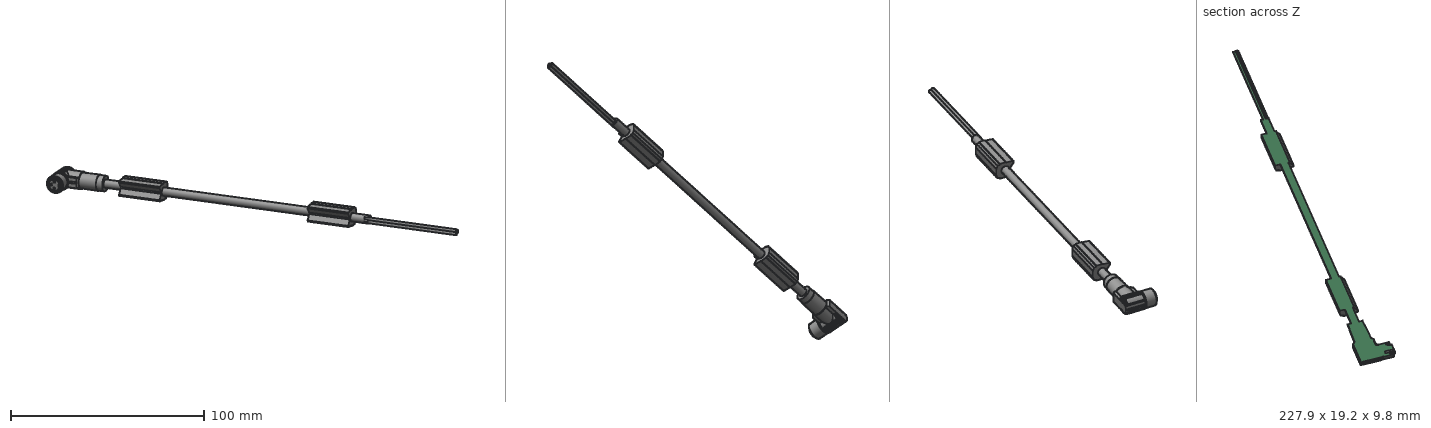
import cadquery as cq
import math


total_length = 227.9
total_width = 19.19
grip_radius = 4.85
wire_end_x = total_length - grip_radius
plate_top_y = 5.85
plug_tip_y = plate_top_y - total_width

grip_top_y = 4.9
grip_bottom_y = -6.0
grip_chamfer = 0.5
groove_angles = (148, 180, 212)
groove_width = 0.7
groove_depth = 0.3

band_half_height = 4.9
band_start_x = -1.2
band_end_x = 1.6
band_top_y = 4.0
band_bottom_y = -4.6
band_groove_width = 0.4
band_groove_depth = 0.3

neck_radius = 4.35
neck_length = 0.4
nose_radius = 4.65
nose_end_y = -12.5
nose_chamfer = 0.3
insert_radius = 3.1
insert_gap = 0.4
insert_gap_depth = 2.0
contact_hole_diameter = 1.1
contact_hole_depth = 5.0
contact_circle_radius = 1.75
contact_angles = (90, 180, 270)
key_width = 0.9
key_depth = 0.7
key_length = 2.0

body_radius = 4.7
body_end_x = 10.0
plate_bottom_y = -5.65
plate_half_height = 2.7
plate_chamfer = 1.0
mark_start_x = 5.4
mark_length = 2.6
mark_width = 1.0
mark_depth = 0.3

sleeve_end_x = 19.6
sleeve_start_half_width = 4.6
sleeve_start_half_height = 4.15
sleeve_end_radius = 4.35
collar_end_x = 23.1
collar_radius = 4.15

cable_radius = 2.25
wire_length = 50.0
cable_end_x = wire_end_x - wire_length
wire_radius = 0.85
wire_centres = ((0.15, 0.0), (-1.3, 0.82), (-1.3, -0.82))
wire_embedding = 2.0

holder_length = 23.1
first_holder_x = 33.1
holder_pitch = 107.1
holder_back_y = 5.15
holder_back_half_height = 2.0
holder_bevel_y = 4.5
holder_bevel_half_height = 3.9
holder_ledge_half_height = 4.2
holder_half_height = 4.65
holder_shoulder_y = 3.1
holder_step_y = -0.5
holder_step_depth = 0.3
holder_arm_y = -3.2
holder_arm_half_height = 4.25
holder_lip_y = -4.9
holder_lip_half_height = 4.0
holder_mouth_y = -5.1
holder_mouth_half_height = 3.2
holder_floor_y = -3.0
holder_floor_half_height = 0.45


def cylinder_along_y(radius, start_y, end_y):
    """Cylinder on the plug axis from start_y down to end_y."""
    return cq.Workplane("XZ", origin=(0, start_y, 0)).circle(radius).extrude(start_y - end_y)


def cylinder_along_x(radius, start_x, end_x, centre_y=0.0, centre_z=0.0):
    """Cylinder parallel to the cable axis."""
    plane = cq.Workplane("YZ", origin=(start_x, centre_y, centre_z))
    return plane.circle(radius).extrude(end_x - start_x)


def block(x_range, y_range, z_range):
    """Box given by its limits along each axis."""
    sizes = [high - low for low, high in (x_range, y_range, z_range)]
    corner = (x_range[0], y_range[0], z_range[0])
    return cq.Workplane("XY").box(*sizes, centered=False).translate(corner)


def make_grip():
    grip = cylinder_along_y(grip_radius, grip_top_y, grip_bottom_y)
    return grip.faces("<Y or >Y").chamfer(grip_chamfer)


def cut_finger_grooves(head):
    """Grooves along the back of the grip, which also cross the flat plate of the elbow."""
    groove = block(
        (grip_radius - groove_depth, grip_radius + groove_depth),
        (grip_bottom_y, grip_top_y),
        (-groove_width / 2, groove_width / 2),
    )
    for angle in groove_angles:
        head = head.cut(groove.rotate((0, 0, 0), (0, 1, 0), angle))
    return head


def make_bands():
    bands = block(
        (band_start_x, band_end_x),
        (band_bottom_y, band_top_y),
        (-band_half_height, band_half_height),
    )
    groove_pitch = (band_end_x - band_start_x) / 3
    for index in (1, 2):
        groove_x = band_start_x + index * groove_pitch
        for side in (-1, 1):
            groove = cq.Workplane("XY").box(
                band_groove_width, band_top_y - band_bottom_y, 2 * band_groove_depth
            )
            middle_y = (band_top_y + band_bottom_y) / 2
            bands = bands.cut(groove.translate((groove_x, middle_y, side * band_half_height)))
    return bands


def make_nose():
    neck = cylinder_along_y(neck_radius, grip_bottom_y, grip_bottom_y - neck_length)
    shell = cylinder_along_y(nose_radius, grip_bottom_y - neck_length, nose_end_y)
    shell = shell.faces("<Y").chamfer(nose_chamfer)
    floor_y = nose_end_y + insert_gap_depth
    shell = shell.cut(cylinder_along_y(insert_radius + insert_gap, floor_y, nose_end_y))
    insert = cylinder_along_y(insert_radius, floor_y, plug_tip_y)
    for angle in contact_angles:
        x = contact_circle_radius * math.cos(math.radians(angle))
        z = contact_circle_radius * math.sin(math.radians(angle))
        hole = cylinder_along_y(contact_hole_diameter / 2, plug_tip_y + contact_hole_depth, plug_tip_y)
        hole = hole.translate((x, 0, z))
        insert = insert.cut(hole)
        shell = shell.cut(hole)
    key = block(
        (insert_radius - key_depth, insert_radius),
        (plug_tip_y, plug_tip_y + key_length),
        (-key_width / 2, key_width / 2),
    )
    return neck.union(shell).union(insert.cut(key))


def make_elbow():
    barrel = cylinder_along_x(body_radius, 0, body_end_x)
    plate = block(
        (-grip_radius, body_end_x),
        (plate_bottom_y, plate_top_y),
        (-plate_half_height, plate_half_height),
    )
    plate = plate.faces(">X").edges("<Y or >Y").chamfer(plate_chamfer)
    round_end = cylinder_along_y(grip_radius, plate_top_y, plate_bottom_y)
    straight_end = block((0, body_end_x), (plate_bottom_y, plate_top_y), (-grip_radius, grip_radius))
    plate = plate.intersect(round_end.union(straight_end))
    mark = block(
        (mark_start_x, mark_start_x + mark_length),
        (plate_bottom_y, plate_bottom_y + mark_depth),
        (-mark_width / 2, mark_width / 2),
    )
    return barrel.union(plate.cut(mark))


def make_outlet():
    sleeve = (
        cq.Workplane("YZ", origin=(body_end_x, 0, 0))
        .ellipse(sleeve_start_half_width, sleeve_start_half_height)
        .workplane(offset=sleeve_end_x - body_end_x)
        .circle(sleeve_end_radius)
        .loft()
    )
    return sleeve.union(cylinder_along_x(collar_radius, sleeve_end_x, collar_end_x))


def make_cable():
    cable = cylinder_along_x(cable_radius, collar_end_x, cable_end_x)
    for y, z in wire_centres:
        cable = cable.union(cylinder_along_x(wire_radius, cable_end_x - wire_embedding, wire_end_x, y, z))
    return cable


def holder_half(start_x, side):
    """Half of the clip on the +Z side (side = 1) or the -Z side (side = -1)."""
    shoulder_half_height = holder_half_height - holder_step_depth
    return (
        cq.Workplane("YZ", origin=(start_x, 0, 0))
        .moveTo(holder_back_y, 0)
        .lineTo(holder_back_y, side * holder_back_half_height)
        .lineTo(holder_bevel_y, side * holder_bevel_half_height)
        .lineTo(holder_shoulder_y, side * holder_ledge_half_height)
        .lineTo(holder_shoulder_y, side * holder_half_height)
        .lineTo(holder_step_y, side * holder_half_height)
        .lineTo(holder_step_y, side * shoulder_half_height)
        .threePointArc(
            (holder_arm_y, side * holder_arm_half_height),
            (holder_lip_y, side * holder_lip_half_height),
        )
        .lineTo(holder_mouth_y, side * holder_mouth_half_height)
        .lineTo(holder_floor_y, side * holder_floor_half_height)
        .lineTo(holder_floor_y, 0)
        .close()
        .extrude(holder_length)
    )


def make_holder(start_x):
    """Clip with a stepped, bevelled back and a V-shaped mouth open towards -Y."""
    return holder_half(start_x, 1).union(holder_half(start_x, -1))


result = cut_finger_grooves(make_grip().union(make_elbow()))
for feature in (make_bands(), make_nose(), make_outlet(), make_cable()):
    result = result.union(feature)
for holder_index in range(2):
    result = result.union(make_holder(first_holder_x + holder_index * holder_pitch))